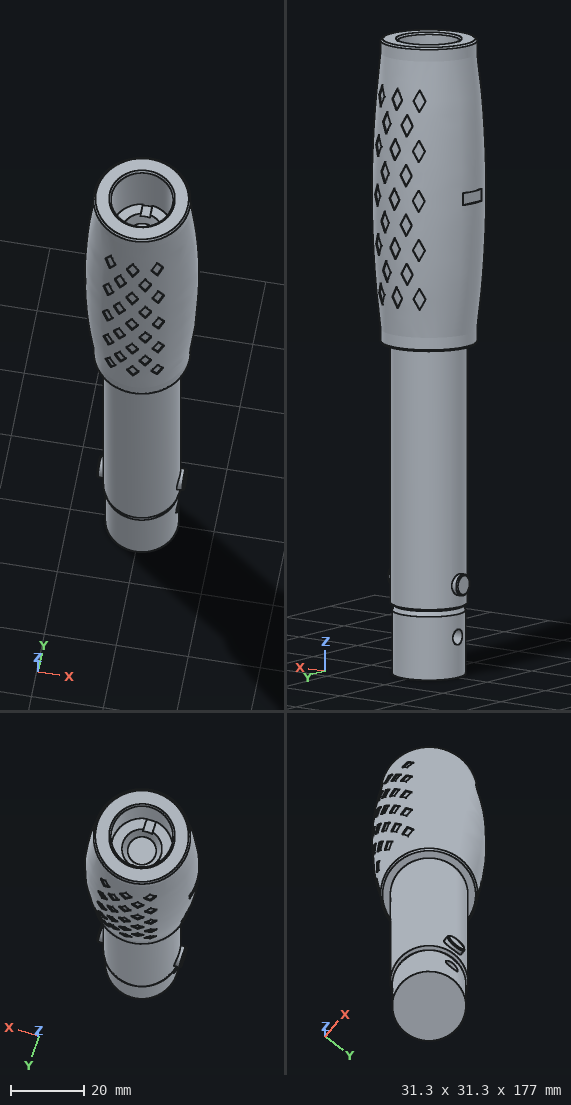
import cadquery as cq
import math

total_length = 177.0
grip_bottom = 92.2
tube_bottom = 19.8
head_top = 19.1

tube_radius = 10.6
grip_end_radius = 13.3
grip_middle_diameter = 31.3
grip_middle_radius = grip_middle_diameter / 2
grip_collar_length = 3.9
edge_chamfer = 0.5
barrel_bottom = grip_bottom + grip_collar_length
barrel_top = total_length - grip_collar_length
grip_middle = (barrel_bottom + barrel_top) / 2

bore_radius = 8.5
bore_depth = 17.7
bore_floor = total_length - bore_depth
recess_top_radius = 5.5
recess_bottom_radius = 3.9
recess_depth = 2.7
slot_width = 2.7
slot_depth = 0.7

diamond_width = 3.4
diamond_height = 6.0
diamond_depth = 0.4
diamond_rows = 9
diamond_row_pitch = 6.9
diamond_column_angle = 27.0

window_width = 8.3
window_height = 3.4
window_floor_radius = 14.9

button_radius = 3.0
button_reach = 12.0
button_chamfer = 0.4
button_height = 26.0

head_radius = 10.1
neck_radius = 8.5
head_chamfer_width = 0.5
head_chamfer_height = 1.5
cross_hole_radius = 2.1
cross_hole_height = 11.3


def make_barrel(inset):
    """Solid barrel between the two collars, its surface moved inwards by the inset."""
    end_radius = grip_end_radius - inset
    return (
        cq.Workplane("XZ")
        .moveTo(0, barrel_bottom)
        .lineTo(end_radius, barrel_bottom)
        .threePointArc((grip_middle_radius - inset, grip_middle), (end_radius, barrel_top))
        .lineTo(0, barrel_top)
        .close()
        .revolve(360, (0, 0, 0), (0, 1, 0))
    )


def make_grip():
    """Barrel with a short cylindrical collar, chamfered on its outer rim, at each end."""
    bottom_collar = (
        cq.Workplane("XY", origin=(0, 0, grip_bottom))
        .circle(grip_end_radius)
        .extrude(grip_collar_length)
        .faces("<Z")
        .chamfer(edge_chamfer)
    )
    top_collar = (
        cq.Workplane("XY", origin=(0, 0, barrel_top))
        .circle(grip_end_radius)
        .extrude(grip_collar_length)
        .faces(">Z")
        .chamfer(edge_chamfer)
    )
    return bottom_collar.union(make_barrel(0)).union(top_collar)


def make_bore():
    """Cutter for the bore, its rim chamfer, the conical recess and the slot in its floor."""
    rim_radius = bore_radius + edge_chamfer
    recess_floor = bore_floor - recess_depth
    bore = (
        cq.Workplane("XZ")
        .polyline([
            (0, recess_floor),
            (recess_bottom_radius, recess_floor),
            (recess_top_radius, bore_floor),
            (bore_radius, bore_floor),
            (bore_radius, total_length - edge_chamfer),
            (rim_radius, total_length),
            (0, total_length),
        ])
        .close()
        .revolve(360, (0, 0, 0), (0, 1, 0))
    )
    slot_blank = cq.Workplane("XY", origin=(0, 0, bore_floor)).circle(bore_radius).extrude(-slot_depth)
    slot_strip = cq.Workplane("XY", origin=(0, 0, bore_floor)).rect(slot_width, 2 * bore_radius)
    return bore.union(slot_blank.intersect(slot_strip.extrude(-slot_depth)))


def make_diamond(angle, height):
    """Radial diamond prism reaching outwards through the grip wall at an angle about Z."""
    plane = cq.Plane(
        origin=(0, 0, height),
        xDir=(-math.sin(math.radians(angle)), math.cos(math.radians(angle)), 0),
        normal=(math.cos(math.radians(angle)), math.sin(math.radians(angle)), 0),
    )
    half_width = diamond_width / 2
    half_height = diamond_height / 2
    return (
        cq.Workplane(plane)
        .polyline([(half_width, 0), (0, half_height), (-half_width, 0), (0, -half_height)])
        .close()
        .extrude(grip_middle_radius)
    )


def make_dimples():
    """Cutters for all dimples: rows of three and two diamonds by turns on both sides."""
    skin = make_barrel(0).cut(make_barrel(diamond_depth))
    dimples = []
    for side_angle in (-90, 90):
        for row in range(diamond_rows):
            height = grip_middle + (row - (diamond_rows - 1) / 2) * diamond_row_pitch
            columns = (-1, 0, 1) if row % 2 == 0 else (-0.5, 0.5)
            for column in columns:
                angle = side_angle + column * diamond_column_angle
                dimples.append(skin.intersect(make_diamond(angle, height)))
    return dimples


def make_window():
    """Cutter for the rectangular window."""
    return (
        cq.Workplane("YZ", origin=(-window_floor_radius, 0, grip_middle))
        .rect(window_width, window_height)
        .extrude(window_floor_radius - grip_middle_radius)
    )


def make_buttons():
    """Round bar across the tube whose chamfered ends stand out as buttons."""
    return (
        cq.Workplane("YZ", origin=(0, 0, button_height))
        .circle(button_radius)
        .extrude(button_reach, both=True)
        .faces("<X or >X")
        .chamfer(button_chamfer)
    )


def make_handle():
    tube = (
        cq.Workplane("XY", origin=(0, 0, tube_bottom))
        .circle(tube_radius)
        .extrude(barrel_bottom - tube_bottom)
    )
    handle = make_grip().union(tube).union(make_buttons()).cut(make_bore()).cut(make_window())
    for dimple in make_dimples():
        handle = handle.cut(dimple)
    return handle


def make_head():
    """Cylinder with a chamfered shoulder, a neck that meets the tube end and a cross hole."""
    shoulder_radius = head_radius - head_chamfer_width
    turned = (
        cq.Workplane("XZ")
        .polyline([
            (0, 0),
            (head_radius, 0),
            (head_radius, head_top - head_chamfer_height),
            (shoulder_radius, head_top),
            (neck_radius, head_top),
            (neck_radius, tube_bottom),
            (0, tube_bottom),
        ])
        .close()
        .revolve(360, (0, 0, 0), (0, 1, 0))
    )
    cross_hole = (
        cq.Workplane("YZ", origin=(0, 0, cross_hole_height))
        .circle(cross_hole_radius)
        .extrude(head_radius, both=True)
    )
    return turned.cut(cross_hole)


handle = make_handle()
head = make_head()

result = cq.Compound.makeCompound([handle.val(), head.val()])